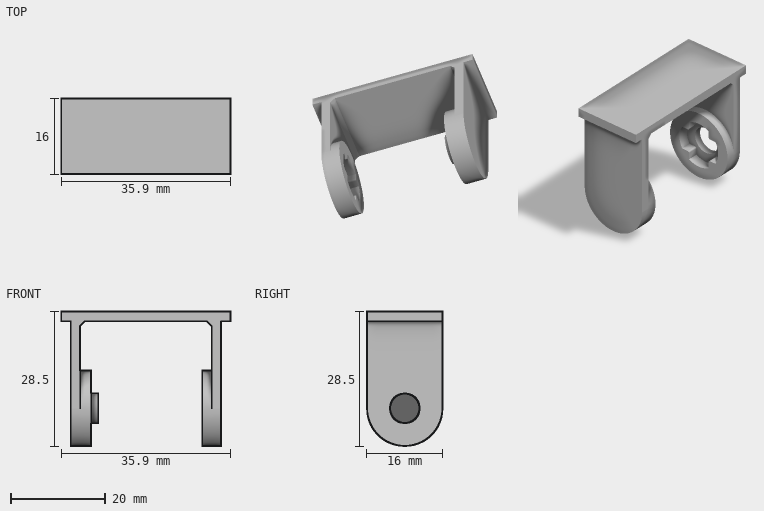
import cadquery as cq

plate_length = 35.9
depth = 16.0
height = 28.5
plate_thickness = 2.1

leg_inset = 2.0
leg_thickness = 2.0
brace_size = 1.0

pin_pad_thickness = 2.37
socket_pad_thickness = 2.0
pin_diameter = 6.4
pin_length = 1.5

socket_radius = 5.4
socket_arm_width = 5.45
socket_corner_radius = 0.35
socket_depth = 2.4
hole_diameter = 6.17

end_radius = depth / 2
axis_height = end_radius
plate_underside = height - plate_thickness
leg_outer_x = plate_length / 2 - leg_inset
leg_inner_x = leg_outer_x - leg_thickness
socket_face_x = leg_inner_x - socket_pad_thickness


def cylinder_along_x(start_x, length, radius):
    """Cylinder on the common pad axis, running toward +X from start_x."""
    return (
        cq.Workplane("YZ", origin=(start_x, 0, axis_height))
        .circle(radius)
        .extrude(length)
    )


def make_leg(start_x):
    """Straight leg with a full-radius lower end."""
    straight = (
        cq.Workplane("YZ", origin=(start_x, 0, 0))
        .moveTo(0, (axis_height + plate_underside) / 2)
        .rect(depth, plate_underside - axis_height)
        .extrude(leg_thickness)
    )
    return straight.union(cylinder_along_x(start_x, leg_thickness, end_radius))


def make_brace(side):
    """Triangular corner brace under the plate; side is -1 or 1."""
    corner_x = side * leg_inner_x
    return (
        cq.Workplane("XZ", origin=(0, depth / 2, 0))
        .moveTo(corner_x, plate_underside)
        .lineTo(corner_x - side * brace_size, plate_underside)
        .lineTo(corner_x, plate_underside - brace_size)
        .close()
        .extrude(depth)
    )


def make_socket():
    """Cross with round arm ends and rounded inner corners."""
    arm_length = 2 * socket_radius
    plane = cq.Workplane("YZ", origin=(socket_face_x, 0, axis_height))
    cross = plane.rect(arm_length, socket_arm_width).extrude(socket_depth)
    cross = cross.union(plane.rect(socket_arm_width, arm_length).extrude(socket_depth))
    half_arm = socket_arm_width / 2
    corner_box = cq.selectors.BoxSelector(
        (socket_face_x - 0.35, -half_arm - 0.35, axis_height - half_arm - 0.35),
        (socket_face_x + socket_depth + 0.35, half_arm + 0.35, axis_height + half_arm + 0.35),
    )
    cross = cross.edges("|X").edges(corner_box).fillet(socket_corner_radius)
    return cross.intersect(cylinder_along_x(socket_face_x, socket_depth, socket_radius))


result = cq.Workplane("XY", origin=(0, 0, plate_underside + plate_thickness / 2)).box(
    plate_length, depth, plate_thickness
)

for leg_start_x in (-leg_outer_x, leg_inner_x):
    result = result.union(make_leg(leg_start_x))
for side in (-1, 1):
    result = result.union(make_brace(side))

result = result.union(cylinder_along_x(-leg_inner_x, pin_pad_thickness, end_radius))
pin_start_x = pin_pad_thickness - leg_inner_x
result = result.union(cylinder_along_x(pin_start_x, pin_length, pin_diameter / 2))

result = result.union(cylinder_along_x(socket_face_x, socket_pad_thickness, end_radius))
result = result.cut(make_socket())
hole_length = leg_outer_x - socket_face_x
result = result.cut(cylinder_along_x(socket_face_x, hole_length, hole_diameter / 2))